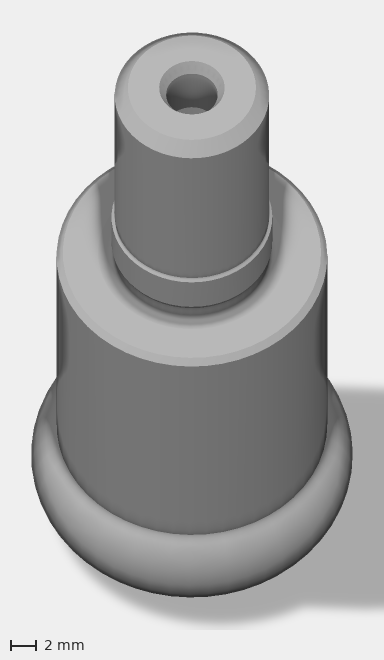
import cadquery as cq
import math

total_height = 54.0

bumper_diameter = 24.95
rim_radius = 5.0
bumper_height = 9.2

body_diameter = 21.0
body_top = 31.95
body_chamfer = 0.5

shank_diameter = 12.0
shank_chamfer = 1.0

collar_diameter = 12.5
collar_bottom = 33.5
collar_top = 37.0
collar_chamfer = (collar_diameter - shank_diameter) / 2

undercut_diameter = 12.1
undercut_taper_height = 0.45
relief_outer_diameter = 14.6
relief_inner_diameter = 13.3
relief_depth = 0.25

hole_diameter = 4.0
hole_mouth_diameter = 5.1
hole_depth = 5.4
mouth_angle = 60.0
drill_point_angle = 118.0


def cone_height(large_diameter, small_diameter, included_angle):
    """Height over which a cone narrows from one diameter to the other."""
    return (large_diameter - small_diameter) / 2 / math.tan(math.radians(included_angle / 2))


def revolve_about_z(profile):
    """Turn a closed radius-height profile about the Z axis."""
    return profile.close().revolve(360, (0, 0, 0), (0, 1, 0))


def make_bumper():
    rim_centre_radius = bumper_diameter / 2 - rim_radius
    neck_radius = body_diameter / 2
    neck_bottom = rim_radius + math.sqrt(rim_radius**2 - (neck_radius - rim_centre_radius) ** 2)
    profile = (
        cq.Workplane("XZ")
        .lineTo(rim_centre_radius, 0)
        .threePointArc((bumper_diameter / 2, rim_radius), (neck_radius, neck_bottom))
        .lineTo(neck_radius, bumper_height)
        .lineTo(0, bumper_height)
    )
    return revolve_about_z(profile)


def make_centre_hole():
    mouth_height = cone_height(hole_mouth_diameter, hole_diameter, mouth_angle)
    point_height = cone_height(hole_diameter, 0, drill_point_angle)
    hole_bottom = total_height - hole_depth
    profile = (
        cq.Workplane("XZ")
        .moveTo(0, total_height)
        .lineTo(hole_mouth_diameter / 2, total_height)
        .lineTo(hole_diameter / 2, total_height - mouth_height)
        .lineTo(hole_diameter / 2, hole_bottom)
        .lineTo(0, hole_bottom - point_height)
    )
    return revolve_about_z(profile)


def make_bolt():
    body_radius = body_diameter / 2
    shank_radius = shank_diameter / 2
    collar_radius = collar_diameter / 2
    undercut_radius = undercut_diameter / 2

    relief_inner_radius = relief_inner_diameter / 2
    relief_floor = body_top - relief_depth
    slope = math.atan2(relief_depth, (relief_outer_diameter - relief_inner_diameter) / 2)
    fillet_radius = (relief_inner_radius - undercut_radius) / (1 + math.sin(slope))
    fillet_top = relief_floor + fillet_radius * math.cos(slope)
    middle_angle = math.pi / 4 - slope / 2
    fillet_middle = (
        undercut_radius + fillet_radius * (1 - math.cos(middle_angle)),
        fillet_top - fillet_radius * math.sin(middle_angle),
    )

    profile = (
        cq.Workplane("XZ")
        .moveTo(0, bumper_height)
        .lineTo(body_radius, bumper_height)
        .lineTo(body_radius, body_top - body_chamfer)
        .lineTo(body_radius - body_chamfer, body_top)
        .lineTo(relief_outer_diameter / 2, body_top)
        .lineTo(relief_inner_radius, relief_floor)
        .threePointArc(fillet_middle, (undercut_radius, fillet_top))
        .lineTo(undercut_radius, collar_bottom - undercut_taper_height)
        .lineTo(collar_radius, collar_bottom)
        .lineTo(collar_radius, collar_top - collar_chamfer)
        .lineTo(shank_radius, collar_top)
        .lineTo(shank_radius, total_height - shank_chamfer)
        .lineTo(shank_radius - shank_chamfer, total_height)
        .lineTo(0, total_height)
    )
    return revolve_about_z(profile).cut(make_centre_hole())


bumper = make_bumper()
bolt = make_bolt()

result = cq.Compound.makeCompound([bumper.val(), bolt.val()])